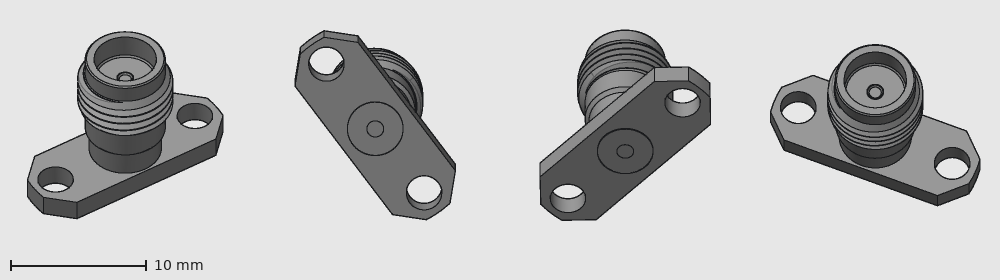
import cadquery as cq
import math

FLANGE_LENGTH = 15.88
FLANGE_WIDTH = 5.72
FLANGE_THICKNESS = 1.7
END_RADIUS = FLANGE_LENGTH / 2
END_HALF_WIDTH = 1.08
MOUNT_HOLE_RADIUS = 1.3
MOUNT_HOLE_Y = 6.1

TOTAL_HEIGHT = 10.97
BOSS_HEIGHT = 0.1
FLANGE_TOP_Z = BOSS_HEIGHT + FLANGE_THICKNESS
NECK_TOP_Z = 3.68
THREAD_BOTTOM_Z = 5.97
THREAD_TOP_Z = 9.53
TOP_CHAMFER = 0.11

BOSS_RADIUS = 2.05
NECK_RADIUS = 2.67
BARREL_RADIUS = 2.95
THREAD_RADIUS = 3.502

THREAD_PITCH = 0.7
THREAD_DEPTH = 0.48
GROOVE_HALF_ANGLE = math.radians(30)
GROOVE_ROOT_HALF_WIDTH = 0.03
GROOVE_OVERCUT = 0.05
GROOVE_START_Z = 5.37
GROOVE_TURNS = 6.9

BORE_RADIUS = 2.29
FLOOR_RADIUS = 2.16
BORE_DEPTH = 1.97
FLOOR_Z = TOTAL_HEIGHT - BORE_DEPTH

CONTACT_RADIUS = 0.62
SOCKET_RIM_RADIUS = 0.55
SOCKET_FLOOR_RADIUS = 0.45


def revolve_about_z(points):
    """Revolve a closed (radius, height) outline about the Z axis."""
    return cq.Workplane("XZ").polyline(points).close().revolve(360, (0, 0, 0), (0, 1, 0))


def make_flange():
    half_width = FLANGE_WIDTH / 2
    end_corner_y = math.sqrt(END_RADIUS**2 - END_HALF_WIDTH**2)
    side_corner_y = end_corner_y - (half_width - END_HALF_WIDTH)
    plate = (
        cq.Workplane("XY", origin=(0, 0, BOSS_HEIGHT))
        .moveTo(half_width, -side_corner_y)
        .lineTo(half_width, side_corner_y)
        .lineTo(END_HALF_WIDTH, end_corner_y)
        .threePointArc((0, END_RADIUS), (-END_HALF_WIDTH, end_corner_y))
        .lineTo(-half_width, side_corner_y)
        .lineTo(-half_width, -side_corner_y)
        .lineTo(-END_HALF_WIDTH, -end_corner_y)
        .threePointArc((0, -END_RADIUS), (END_HALF_WIDTH, -end_corner_y))
        .close()
        .extrude(FLANGE_THICKNESS)
    )
    holes = (
        cq.Workplane("XY", origin=(0, 0, BOSS_HEIGHT))
        .pushPoints([(0, MOUNT_HOLE_Y), (0, -MOUNT_HOLE_Y)])
        .circle(MOUNT_HOLE_RADIUS)
        .extrude(FLANGE_THICKNESS)
    )
    return plate.cut(holes)


def make_thread_groove():
    """Trapezoidal helical cutter that runs out past both ends of the thread."""
    root_radius = THREAD_RADIUS - THREAD_DEPTH
    outer_radius = THREAD_RADIUS + GROOVE_OVERCUT
    outer_half_width = GROOVE_ROOT_HALF_WIDTH + (outer_radius - root_radius) * math.tan(GROOVE_HALF_ANGLE)
    helix = cq.Wire.makeHelix(THREAD_PITCH, THREAD_PITCH * GROOVE_TURNS, root_radius)
    profile = (
        cq.Workplane("XZ")
        .moveTo(root_radius, -GROOVE_ROOT_HALF_WIDTH)
        .lineTo(outer_radius, -outer_half_width)
        .lineTo(outer_radius, outer_half_width)
        .lineTo(root_radius, GROOVE_ROOT_HALF_WIDTH)
        .close()
    )
    return profile.sweep(cq.Workplane(helix), isFrenet=True).translate((0, 0, GROOVE_START_Z))


def make_threaded_collar():
    """Threaded band with 45-degree ends, spanning the barrel wall."""
    end_chamfer = THREAD_RADIUS - BARREL_RADIUS
    blank = revolve_about_z([
        (BORE_RADIUS, THREAD_BOTTOM_Z),
        (BARREL_RADIUS, THREAD_BOTTOM_Z),
        (THREAD_RADIUS, THREAD_BOTTOM_Z + end_chamfer),
        (THREAD_RADIUS, THREAD_TOP_Z - end_chamfer),
        (BARREL_RADIUS, THREAD_TOP_Z),
        (BORE_RADIUS, THREAD_TOP_Z),
    ])
    return blank.cut(make_thread_groove())


def make_barrel():
    """Stepped barrel with the bottom boss, mating bore and contact hole."""
    return revolve_about_z([
        (CONTACT_RADIUS, 0),
        (BOSS_RADIUS, 0),
        (BOSS_RADIUS, BOSS_HEIGHT),
        (NECK_RADIUS, BOSS_HEIGHT),
        (NECK_RADIUS, NECK_TOP_Z),
        (BARREL_RADIUS, NECK_TOP_Z + BARREL_RADIUS - NECK_RADIUS),
        (BARREL_RADIUS, TOTAL_HEIGHT - TOP_CHAMFER),
        (BARREL_RADIUS - TOP_CHAMFER, TOTAL_HEIGHT),
        (BORE_RADIUS, TOTAL_HEIGHT),
        (BORE_RADIUS, FLOOR_Z + BORE_RADIUS - FLOOR_RADIUS),
        (FLOOR_RADIUS, FLOOR_Z),
        (CONTACT_RADIUS, FLOOR_Z),
    ])


def make_housing():
    contact_hole = cq.Workplane("XY").circle(CONTACT_RADIUS).extrude(FLANGE_TOP_Z)
    flange = make_flange().cut(contact_hole)
    return make_barrel().union(flange).union(make_threaded_collar())


def make_contact():
    """Centre contact, flush with the bore floor, with a shallow conical socket."""
    socket_depth = SOCKET_RIM_RADIUS - SOCKET_FLOOR_RADIUS
    return revolve_about_z([
        (0, 0),
        (CONTACT_RADIUS, 0),
        (CONTACT_RADIUS, FLOOR_Z),
        (SOCKET_RIM_RADIUS, FLOOR_Z),
        (SOCKET_FLOOR_RADIUS, FLOOR_Z - socket_depth),
        (0, FLOOR_Z - socket_depth),
    ])


housing = make_housing()
contact = make_contact()
result = cq.Compound.makeCompound([housing.solids().val(), contact.val()])